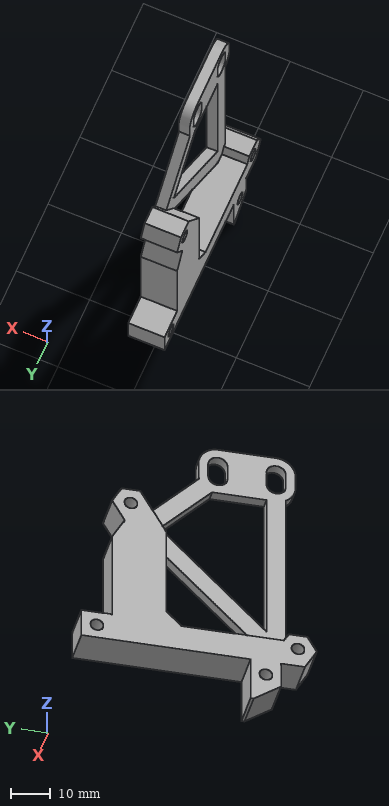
import cadquery as cq
import math


body_thickness = 9.95
frame_thickness = 3.025

total_length = 60.6
total_height = 81.12
leg_drop = 12.1
top_z = total_height - leg_drop

screw_diameter = 3.3
lug_flats = 8.4
lug_apothem = lug_flats / 2
lug_radius = lug_flats / math.sqrt(3)
hexagon_angle = 60
lug_slope = math.tan(math.radians(hexagon_angle))

tail_height = 7.85
tail_screw = (4.0, 3.9)
bar_height = 7.3
nose_lug = (total_length - lug_radius, 5.3)

leg_start = 43.55
leg_width = 7.85
leg_tip_width = 0.8
leg_short_drop = 7.15
leg_screw = (leg_start + leg_width / 2, -4.1)

column_start = 7.9
column_width = 13.95
column_end = column_start + column_width
corner_chamfer = 3.95
column_lug = (column_start + lug_radius, 43.3)
notch_depth = 3.25

slot_width = 5.0
slot_height = 8.5
slot_spacing = 15.0
upright_angle = 90
slot_margin = 2.5
plate_corner_radius = slot_width / 2 + slot_margin
plate_width = slot_spacing + slot_width + 2 * slot_margin
plate_height = slot_height + 2 * slot_margin
plate_start = 31.8
plate_center = (plate_start + plate_width / 2, top_z - plate_height / 2)
plate_bottom = top_z - plate_height

strut_width = 5.0
post_end = plate_center[0] + (slot_spacing + strut_width) / 2
post_start = post_end - strut_width
strut_corner = (column_end, 42.05)
strut_corner_outset = strut_width * math.sqrt(2)


def side_plane():
    """Sketch plane on the back face; local x is the run, extrusion goes toward -X."""
    return cq.Workplane(cq.Plane(origin=(0, 0, 0), xDir=(0, -1, 0), normal=(-1, 0, 0)))


def make_body():
    """Full-thickness bracket: foot, leg, column and the two lugs in one outline."""
    nose_run, nose_z = nose_lug
    nose_top = nose_z + lug_apothem
    lug_run, lug_z = column_lug
    lug_top = lug_z + lug_apothem
    lug_top_end = lug_run + lug_radius / 2
    notch_drop = notch_depth * lug_slope
    leg_end = leg_start + leg_width
    outline = [
        (0, 0),
        (leg_start, 0),
        (leg_start, -leg_drop),
        (leg_start + leg_tip_width, -leg_drop),
        (leg_end, -leg_short_drop),
        (leg_end, 0),
        (total_length - nose_z / lug_slope, 0),
        (total_length, nose_z),
        (nose_run + lug_radius / 2, nose_top),
        (nose_run - lug_radius / 2, nose_top),
        (nose_run - lug_radius / 2 - (nose_top - bar_height) / lug_slope, bar_height),
        (column_end + corner_chamfer, bar_height),
        (column_end, bar_height + corner_chamfer),
        (column_end, lug_top - (column_end - lug_top_end) * lug_slope),
        (lug_top_end, lug_top),
        (lug_run - lug_radius / 2, lug_top),
        (column_start, lug_z),
        (column_start + notch_depth, lug_z - notch_drop),
        (column_start, lug_z - 2 * notch_drop),
        (column_start, tail_height),
        (0, tail_height),
    ]
    return side_plane().polyline(outline).close().extrude(body_thickness)


def make_plate():
    """Mounting plate blank with rounded corners."""
    return (
        side_plane()
        .center(*plate_center)
        .rect(plate_width, plate_height)
        .extrude(frame_thickness)
        .edges("|X")
        .fillet(plate_corner_radius)
    )


def make_frame():
    """Struts and post joining the plate to the column and the nose of the foot."""
    corner_run, corner_z = strut_corner
    outer_corner_run = corner_run - strut_corner_outset
    plate_mid_z = plate_center[1]
    outer = [
        (outer_corner_run, corner_z),
        (post_end, corner_z - (post_end - outer_corner_run)),
        (post_end, plate_mid_z),
        (outer_corner_run + plate_mid_z - corner_z, plate_mid_z),
    ]
    window = [
        (corner_run, corner_z),
        (post_start, corner_z - (post_start - corner_run)),
        (post_start, plate_bottom),
        (corner_run + plate_bottom - corner_z, plate_bottom),
    ]
    blank = side_plane().polyline(outer).close().extrude(frame_thickness)
    opening = side_plane().polyline(window).close().extrude(frame_thickness)
    return blank.cut(opening)


def make_slots():
    """Two upright slots through the mounting plate."""
    return (
        side_plane()
        .center(*plate_center)
        .pushPoints([(-slot_spacing / 2, 0), (slot_spacing / 2, 0)])
        .slot2D(slot_height, slot_width, upright_angle)
        .extrude(frame_thickness)
    )


def make_screw_holes():
    """Screw holes through the full body thickness."""
    return (
        side_plane()
        .pushPoints([tail_screw, leg_screw, nose_lug, column_lug])
        .circle(screw_diameter / 2)
        .extrude(body_thickness)
    )


result = make_body().union(make_frame()).union(make_plate())
result = result.cut(make_slots()).cut(make_screw_holes())